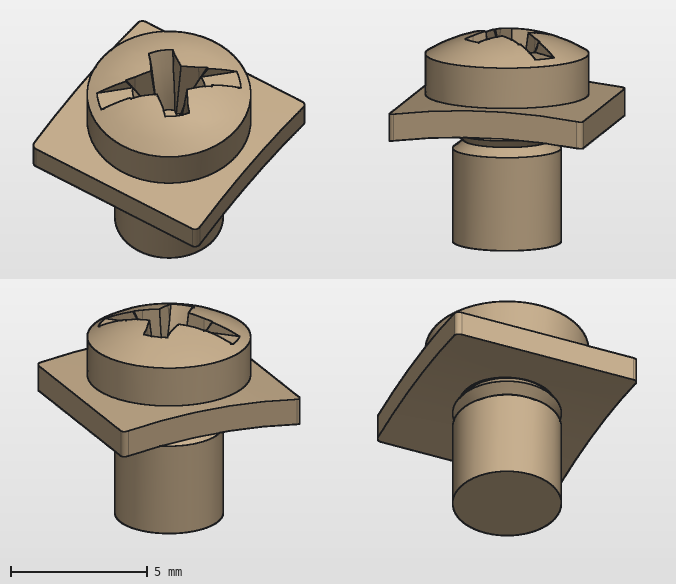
import cadquery as cq
import math

shank_radius = 2.0
neck_radius = 1.77
groove_root_radius = 1.61
groove_bottom_z = 3.48
bevel_height = 0.31
groove_root_z = groove_bottom_z + bevel_height
collar_z = groove_root_z + bevel_height
neck_bottom_z = collar_z + bevel_height

head_radius = 3.01
head_bottom_z = 5.505
head_rim_z = 7.01
dome_apex_z = 7.865

drive_angle = 45
slot_width = 0.8
slot_floor_z = 7.22
recess_floor_z = 5.39
recess_top_z = 7.89
recess_floor_radius = 0.6
recess_knee_radius = 1.34
recess_mouth_radius = 1.76
wing_reach = 1.875
wing_crease_reach = 1.195
wing_floor_widths = (0.765, 0.45)
wing_top_widths = (1.31, 0.96)

washer_side = 7.3
washer_thickness = 1.0
washer_sag = 0.28
washer_corner_radius = 0.2


def make_screw_blank():
    dome_rise = dome_apex_z - head_rim_z
    dome_radius = (head_radius**2 + dome_rise**2) / (2 * dome_rise)
    mid_radius = head_radius / 2
    mid_z = dome_apex_z - dome_radius + math.sqrt(dome_radius**2 - mid_radius**2)
    return (
        cq.Workplane("XZ")
        .lineTo(shank_radius, 0)
        .lineTo(shank_radius, groove_bottom_z)
        .lineTo(groove_root_radius, groove_root_z)
        .lineTo(shank_radius, collar_z)
        .lineTo(neck_radius, neck_bottom_z)
        .lineTo(neck_radius, head_bottom_z)
        .lineTo(head_radius, head_bottom_z)
        .lineTo(head_radius, head_rim_z)
        .threePointArc((mid_radius, mid_z), (0, dome_apex_z))
        .close()
        .revolve(360, (0, 0), (0, 1))
    )


def wing_outline(widths):
    """One wing along +X: tapered from the axis to the crease, then parallel."""
    inner_half, tip_half = (width / 2 for width in widths)
    return [
        (0, -inner_half),
        (wing_crease_reach, -tip_half),
        (wing_reach, -tip_half),
        (wing_reach, tip_half),
        (wing_crease_reach, tip_half),
        (0, inner_half),
    ]


def make_cross_recess():
    wing = (
        cq.Workplane("XY", origin=(0, 0, recess_floor_z))
        .polyline(wing_outline(wing_floor_widths))
        .close()
        .workplane(offset=recess_top_z - recess_floor_z)
        .polyline(wing_outline(wing_top_widths))
        .close()
        .loft(ruled=True)
    )
    cross = wing
    for angle in (90, 180, 270):
        cross = cross.union(wing.rotate((0, 0, 0), (0, 0, 1), angle))

    envelope = (
        cq.Workplane("XZ", origin=(0, 0, recess_floor_z))
        .lineTo(recess_floor_radius, 0)
        .threePointArc(
            (recess_knee_radius, slot_floor_z - recess_floor_z),
            (recess_mouth_radius, recess_top_z - recess_floor_z),
        )
        .lineTo(0, recess_top_z - recess_floor_z)
        .close()
        .revolve(360, (0, 0), (0, 1))
    )
    return cross.intersect(envelope)


def make_slot():
    return cq.Workplane("XY", origin=(0, 0, slot_floor_z)).rect(2 * head_radius, slot_width).extrude(
        dome_apex_z - slot_floor_z
    )


def make_screw():
    screw = make_screw_blank()
    for cutter in (make_cross_recess(), make_slot()):
        screw = screw.cut(cutter.rotate((0, 0, 0), (0, 0, 1), drive_angle))
    return screw


def make_washer():
    half_side = washer_side / 2
    top_edge_z = head_bottom_z - washer_sag
    return (
        cq.Workplane("YZ")
        .moveTo(-half_side, top_edge_z)
        .threePointArc((0, head_bottom_z), (half_side, top_edge_z))
        .lineTo(half_side, top_edge_z - washer_thickness)
        .threePointArc((0, head_bottom_z - washer_thickness), (-half_side, top_edge_z - washer_thickness))
        .close()
        .extrude(half_side, both=True)
        .edges("|Z")
        .fillet(washer_corner_radius)
        .cut(cq.Workplane("XY").circle(neck_radius).extrude(head_bottom_z))
    )


screw = make_screw()
washer = make_washer()
result = cq.Compound.makeCompound([screw.val(), washer.val()])